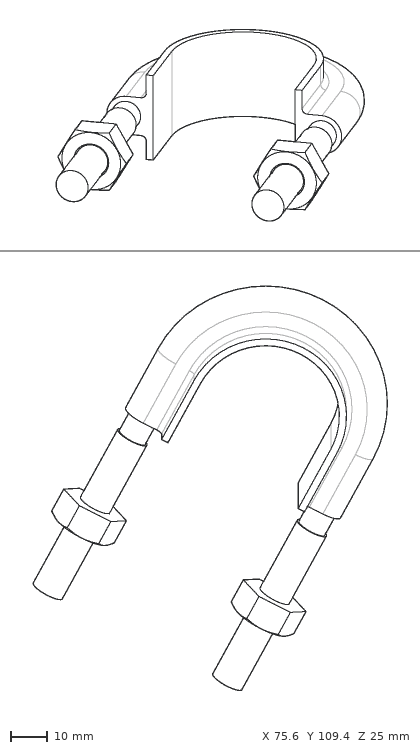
import cadquery as cq
import math


LEG_SPACING = 56.0
SHANK_DIAMETER = 8.2
THREAD_DIAMETER = 9.2
THREAD_LENGTH = 50.0
BOLT_END_Y = -75.75

STRIP_INNER_RADIUS = 20.3
STRIP_THICKNESS = 2.0
STRIP_WIDTH = 25.0
JACKET_RADIUS = 5.6
JACKET_FILLET = 1.5
SLEEVE_LEG_LENGTH = 19.3

NUT_ACROSS_CORNERS = 19.6
NUT_HEIGHT = 8.0
NUT_TO_BOLT_END = 20.0
NUT_FACE_DIAMETER = 16.8
NUT_CHAMFER_ANGLE = 30.0
NUT_COUNTERSINK_DIAMETER = 10.0

BEND_RADIUS = LEG_SPACING / 2
STRIP_OUTER_RADIUS = STRIP_INNER_RADIUS + STRIP_THICKNESS
THREAD_START_Y = BOLT_END_Y + THREAD_LENGTH
NUT_FACE_Y = BOLT_END_Y + NUT_TO_BOLT_END
LEG_SIDES = (-1, 1)


def sweep_u(draw_section, leg_length):
    """Carry a section of the +X leg, drawn in the XZ plane, along both legs and round the bend."""
    leg = draw_section().extrude(leg_length)
    bend = draw_section().revolve(180, (0, 0, 0), (0, 1, 0))
    return leg.union(bend).union(leg.mirror("YZ"))


def cylinder_along_y(x, start_y, length, diameter):
    """Round bar that starts at start_y and runs toward -Y."""
    return cq.Workplane("XZ", origin=(x, start_y, 0)).circle(diameter / 2).extrude(length)


def shank_section():
    return cq.Workplane("XZ").moveTo(BEND_RADIUS, 0).circle(SHANK_DIAMETER / 2)


def make_bolt():
    bolt = sweep_u(shank_section, -THREAD_START_Y)
    for side in LEG_SIDES:
        thread = cylinder_along_y(side * BEND_RADIUS, THREAD_START_Y, THREAD_LENGTH, THREAD_DIAMETER)
        bolt = bolt.union(thread)
    return bolt


def sleeve_section():
    """Strip with the round-nosed jacket on its outer side, filleted where the jacket meets it."""
    half_width = STRIP_WIDTH / 2
    fillet_x = STRIP_OUTER_RADIUS + JACKET_FILLET
    fillet_z = JACKET_RADIUS + JACKET_FILLET
    return (
        cq.Workplane("XZ")
        .moveTo(STRIP_INNER_RADIUS, -half_width)
        .lineTo(STRIP_OUTER_RADIUS, -half_width)
        .lineTo(STRIP_OUTER_RADIUS, -fillet_z)
        .radiusArc((fillet_x, -JACKET_RADIUS), JACKET_FILLET)
        .lineTo(BEND_RADIUS, -JACKET_RADIUS)
        .threePointArc((BEND_RADIUS + JACKET_RADIUS, 0), (BEND_RADIUS, JACKET_RADIUS))
        .lineTo(fillet_x, JACKET_RADIUS)
        .radiusArc((STRIP_OUTER_RADIUS, fillet_z), JACKET_FILLET)
        .lineTo(STRIP_OUTER_RADIUS, half_width)
        .lineTo(STRIP_INNER_RADIUS, half_width)
        .close()
    )


def make_sleeve(bolt):
    return sweep_u(sleeve_section, SLEEVE_LEG_LENGTH).cut(bolt)


def make_nut(side):
    """Hexagon nut, chamfered at the corners and countersunk on the face toward the bolt end."""
    center_x = side * BEND_RADIUS
    back_y = NUT_FACE_Y + NUT_HEIGHT
    face_radius = NUT_FACE_DIAMETER / 2
    corner_radius = NUT_ACROSS_CORNERS / 2
    chamfer_height = (corner_radius - face_radius) * math.tan(math.radians(NUT_CHAMFER_ANGLE))
    hexagon = (
        cq.Workplane("XZ", origin=(center_x, back_y, 0))
        .polygon(6, NUT_ACROSS_CORNERS)
        .extrude(NUT_HEIGHT)
    )
    chamfered_blank = (
        cq.Workplane("XY", origin=(center_x, NUT_FACE_Y, 0))
        .lineTo(face_radius, 0)
        .lineTo(corner_radius, chamfer_height)
        .lineTo(corner_radius, NUT_HEIGHT)
        .lineTo(0, NUT_HEIGHT)
        .close()
        .revolve(360, (0, 0, 0), (0, 1, 0))
    )
    bore = cylinder_along_y(center_x, back_y, NUT_HEIGHT, THREAD_DIAMETER)
    bore_radius = THREAD_DIAMETER / 2
    countersink_radius = NUT_COUNTERSINK_DIAMETER / 2
    countersink_depth = countersink_radius - bore_radius
    countersink = (
        cq.Workplane("XY", origin=(center_x, NUT_FACE_Y, 0))
        .lineTo(countersink_radius, 0)
        .lineTo(bore_radius, countersink_depth)
        .lineTo(0, countersink_depth)
        .close()
        .revolve(360, (0, 0, 0), (0, 1, 0))
    )
    return hexagon.intersect(chamfered_blank).cut(bore).cut(countersink)


bolt = make_bolt()
sleeve = make_sleeve(bolt)
nuts = [make_nut(side) for side in LEG_SIDES]

result = cq.Compound.makeCompound([bolt.val(), sleeve.val(), *[nut.val() for nut in nuts]])